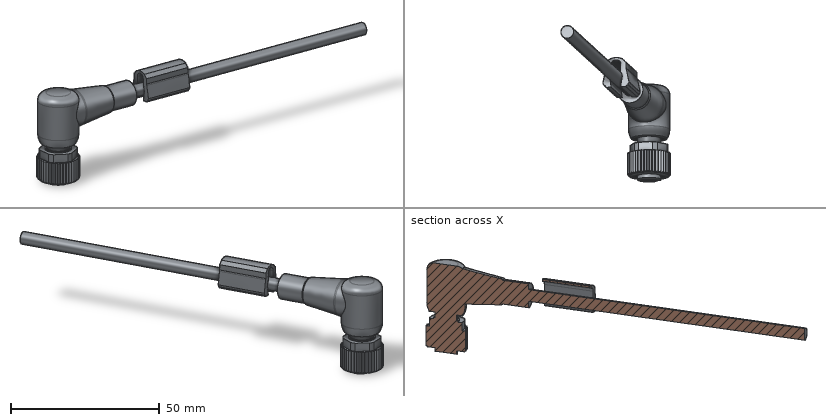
import cadquery as cq
import math

OVERALL_LENGTH = 137.3

HEAD_RADIUS = 7.0
HEAD_TOP = 7.0
HEAD_TOP_FILLET = 2.9
HEAD_TAPER_START = -7.8
HEAD_BOTTOM = -10.8
HEAD_BOTTOM_RADIUS = 6.0

CORE_RADIUS = 4.0
CORE_BOTTOM = -25.0
COLLAR_RADIUS = 4.5
COLLAR_HEIGHT = 0.4
KEYWAY_WIDTH = 1.9
KEYWAY_DEPTH = 0.5
KEYWAY_ANGLE = 232.0

NUT_RADIUS = 7.3
NUT_TOP = -13.2
KNURL_TOP = -16.0
NUT_BOTTOM = -23.8
NUT_CHAMFER = 0.5
HEX_ACROSS_FLATS = 12.0
HEX_CORNER_RADIUS = 6.5
KNURL_COUNT = 40
KNURL_DEPTH = 0.5

CABLE_RADIUS = 2.2
CABLE_END = OVERALL_LENGTH - NUT_RADIUS
SLEEVE_RADIUS = 4.4
SLEEVE_END = 30.1
CONE_SMALL_RADIUS = 4.8
CONE_LARGE_RADIUS = 6.3
CONE_END = 20.0
CONE_START = 7.4
STUB_RADIUS = 6.5
RELIEF_DROP = 0.1
EDGE_RAMP = 0.5

CLIP_START = 35.0
CLIP_END = 52.7
CLIP_TOP = 6.6
CLIP_CROWN_HALF_WIDTH = 2.2
CLIP_CROWN_EDGE = 6.0
CLIP_BOSS_HALF_WIDTH = 3.5
CLIP_BOSS_EDGE = 4.8
CLIP_BOSS_BOTTOM = 2.9
CLIP_SHOULDER_HALF_WIDTH = 3.6
CLIP_SHOULDER = 2.5
CLIP_HALF_WIDTH = 4.5
CLIP_LEG_EDGE = -2.0
CLIP_HEEL_HALF_WIDTH = 4.1
CLIP_HEEL = -2.9
CLIP_FOOT_HALF_WIDTH = 3.5
CLIP_BOTTOM = -3.6
CLIP_MOUTH_HALF_WIDTH = 1.6
MARKER_SLOT_HALF_WIDTH = 1.6
MARKER_SLOT_TOP = 5.8


def vertical_cylinder(radius, bottom, top):
    return cq.Workplane("XY").workplane(offset=bottom).circle(radius).extrude(top - bottom)


def along_cable(start):
    """Workplane facing +Y with local x along -X and local y along Z."""
    return cq.Workplane(cq.Plane((0, start, 0), (-1, 0, 0), (0, 1, 0)))


def make_head():
    taper_width = HEAD_RADIUS - HEAD_BOTTOM_RADIUS
    taper_height = HEAD_TAPER_START - HEAD_BOTTOM
    fillet_middle = HEAD_TOP_FILLET * (1 - math.sqrt(0.5))
    flank_radius = (taper_width**2 + taper_height**2) / (2 * taper_width)
    half_angle = math.asin(taper_height / flank_radius) / 2
    flank_middle = (
        HEAD_RADIUS - flank_radius * (1 - math.cos(half_angle)),
        HEAD_TAPER_START - flank_radius * math.sin(half_angle),
    )
    return (
        cq.Workplane("XZ")
        .moveTo(0, HEAD_TOP)
        .lineTo(HEAD_RADIUS - HEAD_TOP_FILLET, HEAD_TOP)
        .threePointArc(
            (HEAD_RADIUS - fillet_middle, HEAD_TOP - fillet_middle),
            (HEAD_RADIUS, HEAD_TOP - HEAD_TOP_FILLET),
        )
        .lineTo(HEAD_RADIUS, HEAD_TAPER_START)
        .threePointArc(flank_middle, (HEAD_BOTTOM_RADIUS, HEAD_BOTTOM))
        .lineTo(0, HEAD_BOTTOM)
        .close()
        .revolve(360, (0, 0, 0), (0, 1, 0))
    )


def make_core():
    core = vertical_cylinder(CORE_RADIUS, CORE_BOTTOM, HEAD_BOTTOM)
    collar = vertical_cylinder(COLLAR_RADIUS, NUT_TOP, NUT_TOP + COLLAR_HEIGHT)
    keyway = (
        cq.Workplane("XY", origin=(0, 0, CORE_BOTTOM))
        .center(CORE_RADIUS, 0)
        .rect(2 * KEYWAY_DEPTH, KEYWAY_WIDTH)
        .extrude(NUT_BOTTOM - CORE_BOTTOM)
        .rotate((0, 0, 0), (0, 0, 1), KEYWAY_ANGLE)
    )
    return core.cut(keyway).union(collar)


def make_knurl():
    """Ring of sharp V teeth with a crest on +X."""
    pitch = 2 * math.pi / KNURL_COUNT
    root_radius = NUT_RADIUS - KNURL_DEPTH
    points = []
    for tooth in range(KNURL_COUNT):
        middle = tooth * pitch
        for radius, angle in ((NUT_RADIUS, middle), (root_radius, middle + pitch / 2)):
            points.append((radius * math.cos(angle), radius * math.sin(angle)))
    return (
        cq.Workplane("XY", origin=(0, 0, NUT_BOTTOM))
        .polyline(points)
        .close()
        .extrude(KNURL_TOP - NUT_BOTTOM)
    )


def make_nut():
    hex_corner_diameter = HEX_ACROSS_FLATS / math.cos(math.pi / 6)
    hexagon = (
        cq.Workplane("XY", origin=(0, 0, KNURL_TOP))
        .polygon(6, hex_corner_diameter)
        .extrude(NUT_TOP - KNURL_TOP)
        .intersect(vertical_cylinder(HEX_CORNER_RADIUS, KNURL_TOP, NUT_TOP))
    )
    grip_blank = vertical_cylinder(NUT_RADIUS, NUT_BOTTOM, KNURL_TOP).faces("<Z").chamfer(NUT_CHAMFER)
    return hexagon.union(make_knurl().intersect(grip_blank))


def make_cable():
    return cq.Workplane("XZ").circle(CABLE_RADIUS).extrude(-CABLE_END)


def make_strain_relief():
    profile = [
        (0, 0),
        (STUB_RADIUS, 0),
        (STUB_RADIUS, CONE_START - EDGE_RAMP),
        (CONE_LARGE_RADIUS, CONE_START),
        (CONE_SMALL_RADIUS, CONE_END),
        (SLEEVE_RADIUS, CONE_END + EDGE_RAMP),
        (SLEEVE_RADIUS, SLEEVE_END),
        (0, SLEEVE_END),
    ]
    return (
        cq.Workplane("XY", origin=(0, 0, -RELIEF_DROP))
        .polyline(profile)
        .close()
        .revolve(360, (0, 0, 0), (0, 1, 0))
    )


def make_marker_clip():
    length = CLIP_END - CLIP_START
    body = (
        along_cable(CLIP_START)
        .moveTo(-CLIP_CROWN_HALF_WIDTH, CLIP_CROWN_EDGE)
        .threePointArc((0, CLIP_TOP), (CLIP_CROWN_HALF_WIDTH, CLIP_CROWN_EDGE))
        .lineTo(CLIP_BOSS_HALF_WIDTH, CLIP_BOSS_EDGE)
        .lineTo(CLIP_BOSS_HALF_WIDTH, CLIP_BOSS_BOTTOM)
        .lineTo(CLIP_SHOULDER_HALF_WIDTH, CLIP_SHOULDER)
        .lineTo(CLIP_HALF_WIDTH, CLIP_LEG_EDGE)
        .lineTo(CLIP_HEEL_HALF_WIDTH, CLIP_HEEL)
        .lineTo(CLIP_FOOT_HALF_WIDTH, CLIP_BOTTOM)
        .lineTo(-CLIP_FOOT_HALF_WIDTH, CLIP_BOTTOM)
        .lineTo(-CLIP_HEEL_HALF_WIDTH, CLIP_HEEL)
        .lineTo(-CLIP_HALF_WIDTH, CLIP_LEG_EDGE)
        .lineTo(-CLIP_SHOULDER_HALF_WIDTH, CLIP_SHOULDER)
        .lineTo(-CLIP_BOSS_HALF_WIDTH, CLIP_BOSS_BOTTOM)
        .lineTo(-CLIP_BOSS_HALF_WIDTH, CLIP_BOSS_EDGE)
        .close()
        .extrude(length)
    )
    mouth = (
        along_cable(CLIP_START)
        .polyline(
            [
                (-CABLE_RADIUS, 0),
                (CABLE_RADIUS, 0),
                (CLIP_MOUTH_HALF_WIDTH, CLIP_BOTTOM),
                (-CLIP_MOUTH_HALF_WIDTH, CLIP_BOTTOM),
            ]
        )
        .close()
        .extrude(length)
    )
    arch_spring = MARKER_SLOT_TOP - MARKER_SLOT_HALF_WIDTH
    marker_slot = (
        along_cable(CLIP_START)
        .moveTo(-MARKER_SLOT_HALF_WIDTH, 0)
        .lineTo(-MARKER_SLOT_HALF_WIDTH, arch_spring)
        .threePointArc((0, MARKER_SLOT_TOP), (MARKER_SLOT_HALF_WIDTH, arch_spring))
        .lineTo(MARKER_SLOT_HALF_WIDTH, 0)
        .close()
        .extrude(length)
    )
    return body.cut(mouth).cut(marker_slot)


result = (
    make_head()
    .union(make_core())
    .union(make_nut())
    .union(make_marker_clip())
    .union(make_strain_relief())
    .union(make_cable())
)